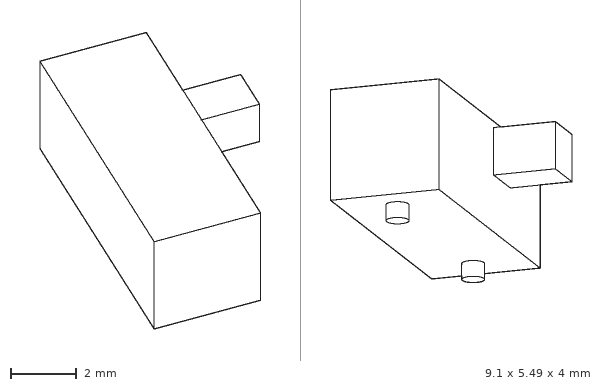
import cadquery as cq

body_length = 9.1
body_side = 3.5

lever_side = 1.5
lever_reach = 1.99
lever_offset = -1.11
lever_top_gap = 0.2

pin_diameter = 0.7
pin_length = 0.5
pin_spacing = 6.8

body = cq.Workplane("XY").box(body_length, body_side, body_side, centered=(True, True, False))

lever_bottom = body_side - lever_top_gap - lever_side
lever = (
    cq.Workplane("XY")
    .box(lever_side, lever_reach, lever_side, centered=(True, False, False))
    .translate((lever_offset, body_side / 2, lever_bottom))
)

pins = (
    cq.Workplane("XY")
    .pushPoints([(-pin_spacing / 2, 0), (pin_spacing / 2, 0)])
    .circle(pin_diameter / 2)
    .extrude(-pin_length)
)

result = body.union(lever).union(pins)